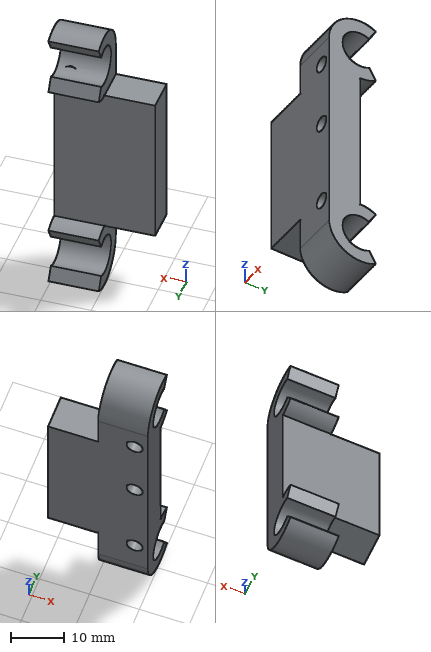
import cadquery as cq
import math

length = 59.0
clip_spacing = 45.0
bore_radius = 4.0
clip_width = 10.0
block_width = 10.05
mouth_half_angle = 60.0

hole_diameter = 3.25
hole_depth = 4.95
hole_edge_distance = 2.65
hole_heights = [-16.0, 2.95, 17.5]

clip_radius = (length - clip_spacing) / 2
clip_height = clip_spacing / 2
block_height = clip_spacing - 2 * clip_radius


def box(x_min, width, height):
    """Plate-thick box on the -Y side of Y = 0, centred on Z = 0."""
    return (
        cq.Workplane("XY")
        .box(width, clip_radius, height, centered=(False, False, True))
        .translate((x_min, -clip_radius, 0))
    )


def clip_cylinder(radius, height):
    """Cylinder along X across the clip width."""
    return cq.Workplane("YZ").center(0, height).circle(radius).extrude(clip_width)


def clip_mouth(height):
    """Wedge opening towards +Y, with its apex on the clip axis."""
    reach = 2 * clip_radius
    half_opening = reach * math.tan(math.radians(mouth_half_angle))
    return (
        cq.Workplane("YZ")
        .moveTo(0, height)
        .lineTo(reach, height - half_opening)
        .lineTo(reach, height + half_opening)
        .close()
        .extrude(clip_width)
    )


body = box(0, clip_width, clip_spacing)
body = body.union(box(-block_width, block_width, block_height))

clip_heights = [-clip_height, clip_height]
for height in clip_heights:
    body = body.union(clip_cylinder(clip_radius, height))
for height in clip_heights:
    body = body.cut(clip_cylinder(bore_radius, height))
    body = body.cut(clip_mouth(height))

for height in hole_heights:
    hole = (
        cq.Workplane("XZ", origin=(0, -clip_radius, 0))
        .center(clip_width - hole_edge_distance, height)
        .circle(hole_diameter / 2)
        .extrude(-hole_depth)
    )
    body = body.cut(hole)

result = body